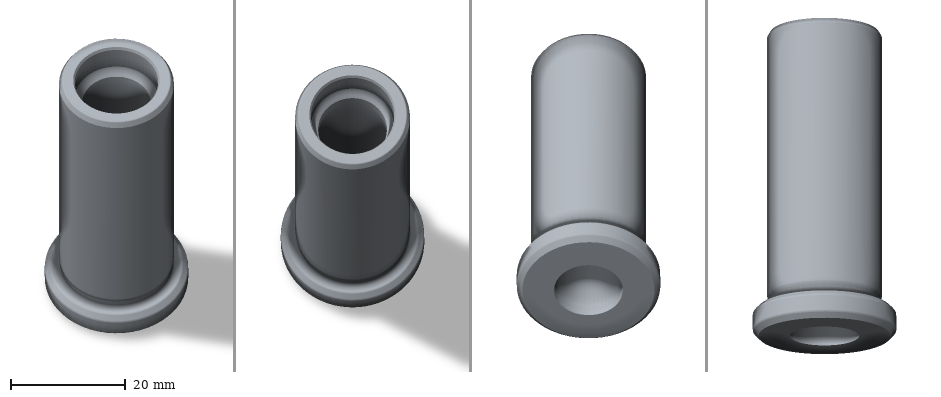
import cadquery as cq
import math

total_length = 55
body_radius = 20.0 / 2

flange_radius = 25.0 / 2
flange_height = 5.0
flange_chamfer = 1.0
flange_edge_round = 0.5

groove_radius = 19.7 / 2
groove_fillet = 0.5
groove_cone_bottom = 6.5
groove_cone_top = 7.2

lead_in_height = 1.0
lead_in_angle = 30
lead_in_width = lead_in_height * math.tan(math.radians(lead_in_angle))
lead_in_round = 0.3

bore_radius = 12.0 / 2
counterbore_radius = 14.5 / 2
counterbore_depth = 5.0
mouth_chamfer_height = 0.5
mouth_chamfer_width = 0.3
shoulder_height = counterbore_radius - bore_radius
shoulder_top = total_length - counterbore_depth


def revolve_profile(profile):
    """Revolve a closed (radius, height) profile about the Z axis."""
    return profile.close().revolve(360, (0, 0, 0), (0, 1, 0))


def make_flange():
    flange = cq.Workplane("XY").circle(flange_radius).extrude(flange_height)
    flange = flange.edges().chamfer(flange_chamfer)
    return flange.edges("%CIRCLE").edges("not <Z").fillet(flange_edge_round)


def make_body():
    body = revolve_profile(
        cq.Workplane("XZ")
        .lineTo(groove_radius, 0)
        .lineTo(groove_radius, groove_cone_bottom)
        .lineTo(body_radius, groove_cone_top)
        .lineTo(body_radius, total_length - lead_in_height)
        .lineTo(body_radius - lead_in_width, total_length)
        .lineTo(0, total_length)
    )
    return body.faces(">Z").edges().fillet(lead_in_round)


def make_groove_fillet():
    """Concave ring blending the groove into the upper flange face."""
    arc_offset = groove_fillet * (1 - math.sqrt(0.5))
    return revolve_profile(
        cq.Workplane("XZ")
        .moveTo(groove_radius, flange_height)
        .lineTo(groove_radius + groove_fillet, flange_height)
        .threePointArc(
            (groove_radius + arc_offset, flange_height + arc_offset),
            (groove_radius, flange_height + groove_fillet),
        )
    )


def make_bore():
    return revolve_profile(
        cq.Workplane("XZ")
        .lineTo(bore_radius, 0)
        .lineTo(bore_radius, shoulder_top - shoulder_height)
        .lineTo(counterbore_radius, shoulder_top)
        .lineTo(counterbore_radius, total_length - mouth_chamfer_height)
        .lineTo(counterbore_radius + mouth_chamfer_width, total_length)
        .lineTo(0, total_length)
    )


outer_shape = make_flange().union(make_body()).union(make_groove_fillet())
result = outer_shape.cut(make_bore())